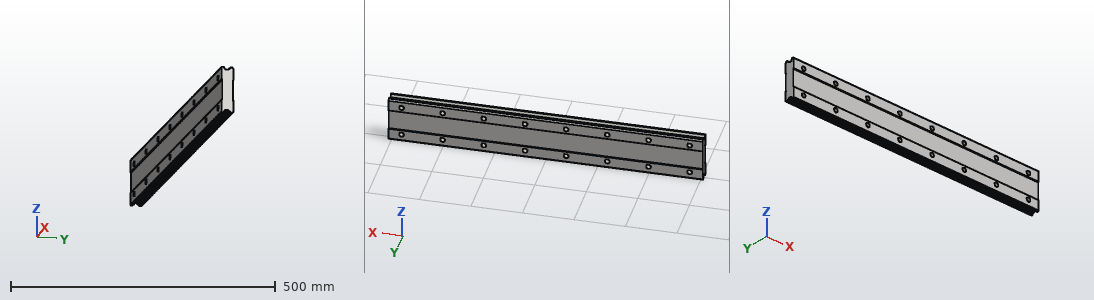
import cadquery as cq
import math

length = 610.0
thickness = 24.0
height = 90.0

groove_depth = 5.2
front_lip_width = 4.0
front_wall_angle = 60.0
front_chamfer = 1.0
floor_width = 5.0
back_step = 2.0
back_chamfer = 3.0

recess_width = 39.0
recess_depth = 1.0

hole_diameter = 9.0
hole_pitch = 80.0
holes_per_row = 8
row_spacing = 60.0

front = -thickness / 2
back = thickness / 2
top = height / 2


def upper_outline():
    """Outline of the upper half of the section as (y, z), from the front recess to the back one."""
    floor_z = top - groove_depth
    ledge_z = floor_z + back_step
    recess_z = recess_width / 2

    wall_top = front + front_lip_width
    floor_start = wall_top + groove_depth / math.tan(math.radians(front_wall_angle))
    floor_end = floor_start + floor_width
    ledge_start = floor_end + back_step
    ledge_end = ledge_start + back_step
    back_wall = ledge_end + back_step

    return [
        (front + recess_depth, recess_z),
        (front, recess_z + recess_depth),
        (front, top - front_chamfer),
        (front + front_chamfer, top),
        (wall_top, top),
        (floor_start, floor_z),
        (floor_end, floor_z),
        (ledge_start, ledge_z),
        (ledge_end, ledge_z),
        (back_wall, ledge_z + back_step),
        (back_wall, top),
        (back - back_chamfer, top),
        (back, top - back_chamfer),
        (back, recess_z + recess_depth),
        (back - recess_depth, recess_z),
    ]


def rail_body():
    """Constant section, the same above and below its middle, running the full length."""
    upper = upper_outline()
    lower = [(y, -z) for y, z in reversed(upper)]
    return cq.Workplane("YZ").polyline(upper + lower).close().extrude(length / 2, both=True)


def mounting_holes():
    """Plain holes through the thickness, in one row above and one below the recess."""
    return (
        cq.Workplane("XZ")
        .rarray(hole_pitch, row_spacing, holes_per_row, 2)
        .circle(hole_diameter / 2)
        .extrude(thickness, both=True)
    )


result = rail_body().cut(mounting_holes())